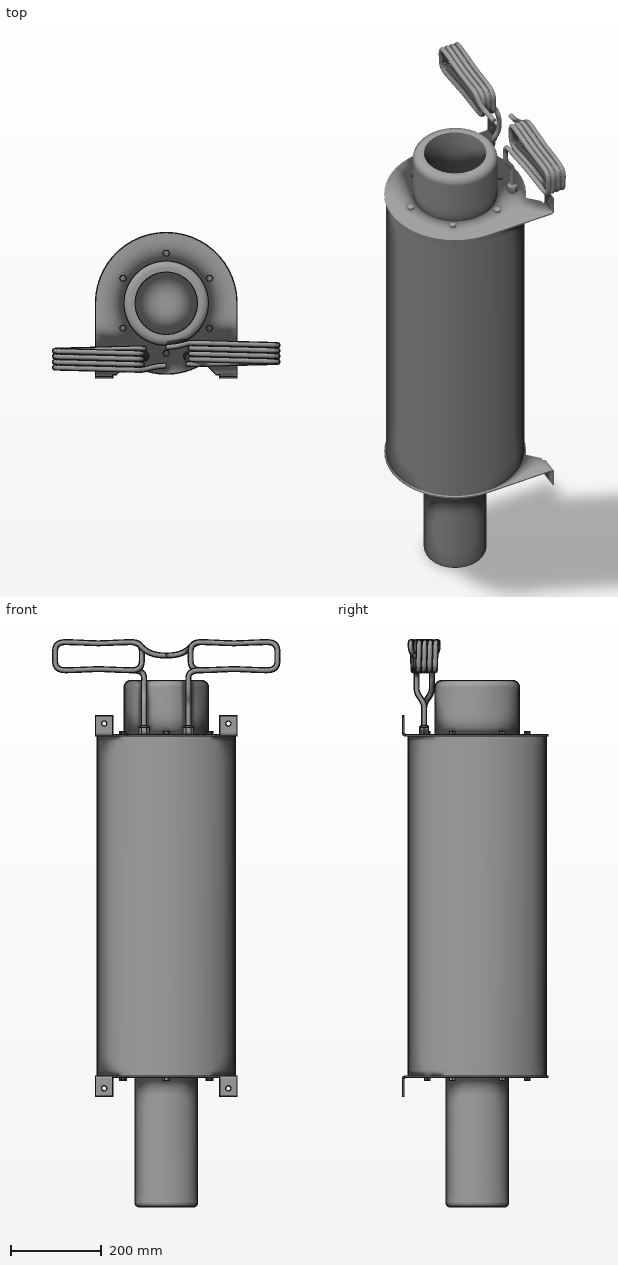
import cadquery as cq
import math

shell_diameter = 305.0
shell_bottom = 289.0
shell_top = 1038.0
outlet_diameter = 186.0
outlet_bore = 138.0
outlet_top = 1161.0
outlet_rounding = 15.0
inlet_diameter = 139.0
inlet_rounding = 10.0

plate_radius = 156.0
plate_thickness = 4.0
tab_face = -165.0
tab_width = 39.0
tab_height = 45.0
tab_hole_diameter = 11.0
tab_hole_height = 28.0
bend_inner_radius = 4.0
bend_outer_radius = bend_inner_radius + plate_thickness
notch_start_x = 110.0
notch_start_y = tab_face + bend_outer_radius

bolt_count = 6
bolt_circle_radius = 110.0
bolt_head_width = 13.0
bolt_head_height = 6.0

cable_diameter = 11.0
cable_plane_y = -117.0
gland_x = -49.0
gland_width = 20.0
gland_height = 20.0
gland_hex_height = 15.0
gland_chamfer = 4.0
riser_shift = 16.9
riser_bend_bottom = 1100.0
riser_bend_top = 1145.0
riser_top = 1166.0

coil_turns = 4
coil_pitch = 12.1
coil_top = 1251 - cable_diameter / 2
coil_bottom = 1184.0
coil_inner_x = -54.0
coil_outer_x = -245.0
coil_bend_length = 24.0
coil_sag = 3.0
exit_x = -51.0
exit_z = 1232.0
free_end_y = -138.0
free_end_z = 1216.0

plate_top = shell_top + plate_thickness
mirror_plane_z = (shell_bottom + shell_top) / 2

axis = (0, 0, 1)
corner_direction = (0, 1, 0)


def mounting_tab(side):
    """Drilled tab bent up from the -Y edge of a plate that lies on Z = 0."""
    tab_back = tab_face + plate_thickness
    bend_middle = math.sqrt(0.5)
    bend_y = notch_start_y
    bend_z = bend_outer_radius
    tab = (
        cq.Workplane("YZ", origin=(side * (plate_radius - tab_width / 2), 0, 0))
        .moveTo(bend_y, 0)
        .threePointArc(
            (bend_y - bend_outer_radius * bend_middle, bend_z - bend_outer_radius * bend_middle),
            (tab_face, bend_z),
        )
        .lineTo(tab_face, tab_height)
        .lineTo(tab_back, tab_height)
        .lineTo(tab_back, bend_z)
        .threePointArc(
            (bend_y - bend_inner_radius * bend_middle, bend_z - bend_inner_radius * bend_middle),
            (bend_y, plate_thickness),
        )
        .close()
        .extrude(tab_width / 2, both=True)
    )
    hole = (
        cq.Workplane("XZ", origin=(side * (plate_radius - tab_width / 2), 0, tab_hole_height))
        .circle(tab_hole_diameter / 2)
        .extrude(-2 * tab_face, both=True)
    )
    return tab.cut(hole)


def end_plate():
    """Plate on Z = 0 with two tabs bent up and bolt heads on its upper side."""
    notch_sum = notch_start_x + notch_start_y
    notch_gap = math.sqrt(2 * plate_radius**2 - notch_sum**2)
    notch_end_x = (notch_sum + notch_gap) / 2
    notch_end_y = (notch_sum - notch_gap) / 2
    plate = (
        cq.Workplane("XY")
        .moveTo(-plate_radius, 0)
        .threePointArc((0, plate_radius), (plate_radius, 0))
        .lineTo(plate_radius, notch_start_y)
        .lineTo(notch_start_x, notch_start_y)
        .lineTo(notch_end_x, notch_end_y)
        .threePointArc((0, -plate_radius), (-notch_end_x, notch_end_y))
        .lineTo(-notch_start_x, notch_start_y)
        .lineTo(-plate_radius, notch_start_y)
        .close()
        .extrude(plate_thickness)
    )
    bolt_heads = (
        cq.Workplane(cq.Plane((0, 0, plate_thickness), corner_direction, axis))
        .polarArray(bolt_circle_radius, 0, 360, bolt_count, rotate=False)
        .polygon(6, bolt_head_width, circumscribed=True)
        .extrude(bolt_head_height)
    )
    return plate.union(mounting_tab(-1)).union(mounting_tab(1)).union(bolt_heads)


def make_housing():
    """Shell closed by two mirrored end plates, with an inlet and an outlet pipe."""
    shell = cq.Workplane("XY", origin=(0, 0, shell_bottom)).circle(shell_diameter / 2)
    shell = shell.extrude(shell_top - shell_bottom)
    upper_plate = end_plate().translate((0, 0, shell_top))
    lower_plate = upper_plate.mirror("XY", (0, 0, mirror_plane_z))
    outlet = (
        cq.Workplane("XY", origin=(0, 0, shell_top))
        .circle(outlet_diameter / 2)
        .extrude(outlet_top - shell_top)
        .faces(">Z")
        .edges()
        .fillet(outlet_rounding)
    )
    outlet_hole = cq.Workplane("XY", origin=(0, 0, plate_top)).circle(outlet_bore / 2)
    outlet_hole = outlet_hole.extrude(outlet_top - plate_top)
    inlet = (
        cq.Workplane("XY")
        .circle(inlet_diameter / 2)
        .extrude(shell_bottom)
        .faces("<Z")
        .edges()
        .fillet(inlet_rounding)
    )
    housing = shell.union(upper_plate).union(lower_plate).union(outlet).union(inlet)
    return housing.cut(outlet_hole)


def coil_edges(coil_start, free_end):
    """Centre line from the riser through all coil turns to the free end, one edge per stretch."""
    run_inner_x = coil_inner_x - coil_bend_length
    run_outer_x = coil_outer_x + coil_bend_length
    middle_x = (coil_inner_x + coil_outer_x) / 2
    middle_z = (coil_top + coil_bottom) / 2
    run = run_inner_x - run_outer_x
    bend = math.pi * (coil_bend_length + middle_z - coil_bottom) / 2
    drift = -coil_pitch / (2 * run + 2 * bend)
    outward = cq.Vector(-1, drift, 0)
    inward = cq.Vector(1, drift, 0)

    def point(x, z, length):
        return cq.Vector(x, coil_start.y + drift * length, z)

    length = 0
    lower_inner = point(run_inner_x, coil_bottom, length)
    edges = [cq.Edge.makeSpline([coil_start, lower_inner], tangents=[cq.Vector(0, 0, 1), outward])]
    for turn in range(coil_turns):
        lower_middle = point(middle_x, coil_bottom + coil_sag, length + run / 2)
        lower_outer = point(run_outer_x, coil_bottom, length + run)
        edges.append(
            cq.Edge.makeSpline([lower_inner, lower_middle, lower_outer], tangents=[outward, outward])
        )
        length += run
        outer_end = point(coil_outer_x, middle_z, length + bend / 2)
        upper_outer = point(run_outer_x, coil_top, length + bend)
        edges.append(
            cq.Edge.makeSpline([lower_outer, outer_end, upper_outer], tangents=[outward, inward])
        )
        length += bend
        upper_middle = point(middle_x, coil_top - coil_sag, length + run / 2)
        upper_inner = point(run_inner_x, coil_top, length + run)
        edges.append(
            cq.Edge.makeSpline([upper_outer, upper_middle, upper_inner], tangents=[inward, inward])
        )
        length += run
        if turn < coil_turns - 1:
            inner_end = point(coil_inner_x, middle_z, length + bend / 2)
            lower_inner = point(run_inner_x, coil_bottom, length + bend)
            edges.append(
                cq.Edge.makeSpline([upper_inner, inner_end, lower_inner], tangents=[inward, outward])
            )
            length += bend
    exit_point = point(exit_x, exit_z, length)
    edges.append(
        cq.Edge.makeSpline([upper_inner, exit_point, free_end], tangents=[inward, cq.Vector(1, 0, 0)])
    )
    return edges


def make_cable():
    """Cable on the -X side: gland, riser, coil and free end in one solid."""
    gland = (
        cq.Workplane("XY", origin=(gland_x, cable_plane_y, plate_top))
        .circle(gland_width / 2)
        .extrude(gland_height)
        .faces(">Z")
        .edges()
        .chamfer(gland_chamfer)
    )
    gland_hex = (
        cq.Workplane(cq.Plane((gland_x, cable_plane_y, plate_top), corner_direction, axis))
        .polygon(6, gland_width, circumscribed=True)
        .extrude(gland_hex_height)
    )
    riser_y = cable_plane_y + riser_shift
    up = cq.Vector(0, 0, 1)
    plate_point = cq.Vector(gland_x, cable_plane_y, plate_top)
    bend_start = cq.Vector(gland_x, cable_plane_y, riser_bend_bottom)
    bend_end = cq.Vector(gland_x, riser_y, riser_bend_top)
    coil_start = cq.Vector(gland_x, riser_y, riser_top)
    free_end = cq.Vector(0, free_end_y, free_end_z)
    path = cq.Wire.assembleEdges([
        cq.Edge.makeLine(plate_point, bend_start),
        cq.Edge.makeSpline([bend_start, bend_end], tangents=[up, up]),
        cq.Edge.makeLine(bend_end, coil_start),
        *coil_edges(coil_start, free_end),
    ])
    cable = (
        cq.Workplane("XY", origin=plate_point.toTuple())
        .circle(cable_diameter / 2)
        .sweep(cq.Workplane(path), isFrenet=False)
    )
    return gland.union(gland_hex).union(cable)


housing = make_housing()
left_cable = make_cable()
right_cable = left_cable.rotate((0, cable_plane_y, 0), (0, cable_plane_y, 1), 180)

result = cq.Compound.makeCompound([housing.val(), left_cable.val(), right_cable.val()])